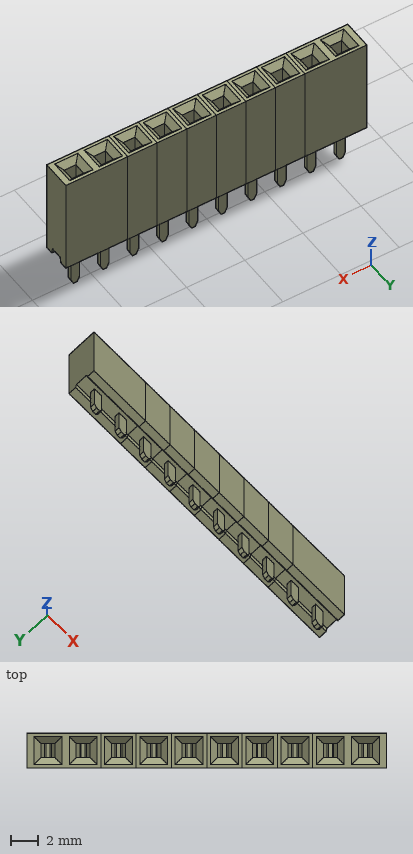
import cadquery as cq
import math

ROW_LENGTH = 25.9
ROW_DEPTH = 2.5
TOTAL_HEIGHT = 11.7
POLE_COUNT = 10
END_ALLOWANCE = 0.5
PITCH = (ROW_LENGTH - END_ALLOWANCE) / POLE_COUNT
END_POLES = 2

HOUSING_HEIGHT = 8.5
TOP_Z = TOTAL_HEIGHT / 2
HOUSING_BASE_Z = TOP_Z - HOUSING_HEIGHT
PIN_END_Z = TOP_Z - TOTAL_HEIGHT

CHANNEL_DEPTH = 0.5
CHANNEL_ROOF_WIDTH = 1.0
CHANNEL_MOUTH_WIDTH = 1.17
CHANNEL_ROOF_Z = HOUSING_BASE_Z + CHANNEL_DEPTH

FUNNEL_WIDTH = 2.0
WELL_WIDTH = 1.0
FUNNEL_DEPTH = (FUNNEL_WIDTH - WELL_WIDTH) / 2
STRAIGHT_WELL_DEPTH = 2.07
CONTACT_SLOPE = math.radians(69.5)
THROAT_WIDTH = 0.5
FLOOR_WIDTH = 0.28
CONTACT_DEPTH = (WELL_WIDTH - THROAT_WIDTH) / 2 * math.tan(CONTACT_SLOPE)
LIP_DEPTH = (THROAT_WIDTH - FLOOR_WIDTH) / 2

PIN_WIDTH = 0.75
PIN_THICKNESS = 0.4
TIP_WIDTH = 0.3
TIP_HEIGHT = 0.47


def pole_x(pole):
    """X position of a pole, counted from 0 at the -X end."""
    return (pole - (POLE_COUNT - 1) / 2) * PITCH


def housing_block(left, right):
    """Plain housing between two X positions, with the channel along its underside."""
    profile = [
        (-ROW_DEPTH / 2, TOP_Z),
        (-ROW_DEPTH / 2, HOUSING_BASE_Z),
        (-CHANNEL_MOUTH_WIDTH / 2, HOUSING_BASE_Z),
        (-CHANNEL_ROOF_WIDTH / 2, CHANNEL_ROOF_Z),
        (CHANNEL_ROOF_WIDTH / 2, CHANNEL_ROOF_Z),
        (CHANNEL_MOUTH_WIDTH / 2, HOUSING_BASE_Z),
        (ROW_DEPTH / 2, HOUSING_BASE_Z),
        (ROW_DEPTH / 2, TOP_Z),
    ]
    return cq.Workplane("YZ", origin=(left, 0, 0)).polyline(profile).close().extrude(right - left)


def socket_cutter(x):
    """Volume removed for one socket."""
    funnel = (
        cq.Workplane("XY", origin=(x, 0, TOP_Z))
        .rect(FUNNEL_WIDTH, FUNNEL_WIDTH)
        .workplane(offset=-FUNNEL_DEPTH)
        .rect(WELL_WIDTH, WELL_WIDTH)
        .loft(ruled=True)
    )
    well_top = TOP_Z - FUNNEL_DEPTH
    contact_top = well_top - STRAIGHT_WELL_DEPTH
    throat_z = contact_top - CONTACT_DEPTH
    floor_z = throat_z - LIP_DEPTH
    well_profile = [
        (-WELL_WIDTH / 2, well_top),
        (-WELL_WIDTH / 2, contact_top),
        (-THROAT_WIDTH / 2, throat_z),
        (-FLOOR_WIDTH / 2, floor_z),
        (FLOOR_WIDTH / 2, floor_z),
        (THROAT_WIDTH / 2, throat_z),
        (WELL_WIDTH / 2, contact_top),
        (WELL_WIDTH / 2, well_top),
    ]
    well = (
        cq.Workplane("XZ", origin=(x, 0, 0))
        .polyline(well_profile)
        .close()
        .extrude(WELL_WIDTH / 2, both=True)
    )
    return funnel.union(well)


def pin(x):
    """Pin of one pole, hanging from the channel roof."""
    shoulder_z = PIN_END_Z + TIP_HEIGHT
    profile = [
        (-PIN_WIDTH / 2, CHANNEL_ROOF_Z),
        (-PIN_WIDTH / 2, shoulder_z),
        (-TIP_WIDTH / 2, PIN_END_Z),
        (TIP_WIDTH / 2, PIN_END_Z),
        (PIN_WIDTH / 2, shoulder_z),
        (PIN_WIDTH / 2, CHANNEL_ROOF_Z),
    ]
    return (
        cq.Workplane("XZ", origin=(x, 0, 0))
        .polyline(profile)
        .close()
        .extrude(PIN_THICKNESS / 2, both=True)
    )


def socket_section(first_pole, pole_count):
    """One body of the row: a housing section with its sockets and pins."""
    last_pole = first_pole + pole_count - 1
    left = pole_x(first_pole) - PITCH / 2
    right = pole_x(last_pole) + PITCH / 2
    if first_pole == 0:
        left -= END_ALLOWANCE / 2
    if last_pole == POLE_COUNT - 1:
        right += END_ALLOWANCE / 2
    section = housing_block(left, right)
    for pole in range(first_pole, first_pole + pole_count):
        section = section.cut(socket_cutter(pole_x(pole))).union(pin(pole_x(pole)))
    return section


left_end_section = socket_section(0, END_POLES)
right_end_section = socket_section(POLE_COUNT - END_POLES, END_POLES)
middle_sections = [socket_section(pole, 1) for pole in range(END_POLES, POLE_COUNT - END_POLES)]

result = cq.Compound.makeCompound([
    left_end_section.val(),
    *[section.val() for section in middle_sections],
    right_end_section.val(),
])